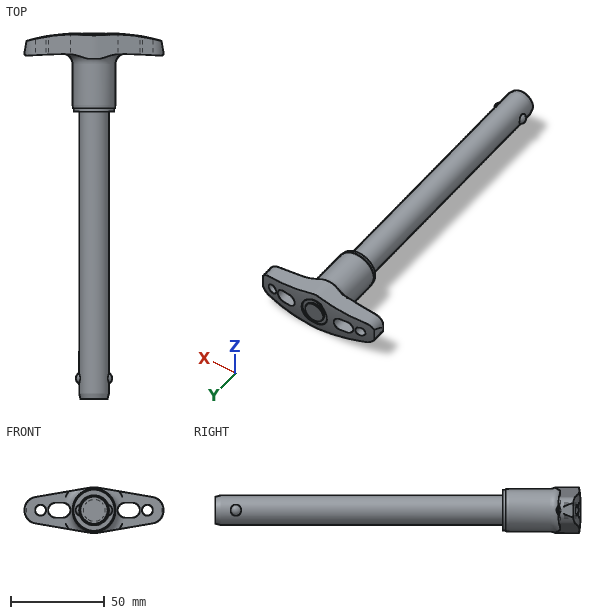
import cadquery as cq
import math


overall_length = 196.2
shaft_radius = 8.0
tip_radius = 7.3
tip_chamfer_length = 3.0
ball_radius = 3.1
ball_reach = 9.8
ball_from_tip = 11.2

collar_radius = 11.5
collar_bottom = -42.0
collar_fillet = 5.3
collar_fillet_bottom = -16.5
collar_end_radius = 11.0
collar_end_step = 1.8
collar_taper_radius = 11.4
collar_taper_length = 1.8

handle_length = 74.8
hub_radius = 12.4
arm_end_radius = 7.3
slot_center = 18.6
slot_length = 11.8
slot_width = 7.8
hole_center = 28.6
hole_diameter = 5.7

hump_center = 8.8
hump_radius = 94.2
crown_radius = 88.3
underside_level = -11.0
underside_radius = 588.6
end_slope_bottom = -10.5
end_slope_angle = 10.0
end_round_length = 1.4

button_radius = 5.9
button_recess_radius = 8.2
button_recess_depth = 1.0

overlap = 2.0

half_length = handle_length / 2
arm_end_center = half_length - arm_end_radius


def cylinder_down(radius, top, bottom):
    """Cylinder on the pin axis between two heights."""
    return cq.Workplane("XZ", origin=(0, top, 0)).circle(radius).extrude(top - bottom)


def handle_plan(top, bottom):
    """Prism of the handle outline: hub arcs, tangent tapered sides, rounded ends."""
    sin_taper = (hub_radius - arm_end_radius) / arm_end_center
    cos_taper = math.sqrt(1 - sin_taper**2)
    hub_x = hub_radius * sin_taper
    hub_z = hub_radius * cos_taper
    arm_x = arm_end_center + arm_end_radius * sin_taper
    arm_z = arm_end_radius * cos_taper
    return (
        cq.Workplane("XZ", origin=(0, top, 0))
        .moveTo(-hub_x, hub_z)
        .threePointArc((0, hub_radius), (hub_x, hub_z))
        .lineTo(arm_x, arm_z)
        .threePointArc((half_length, 0), (arm_x, -arm_z))
        .lineTo(hub_x, -hub_z)
        .threePointArc((0, -hub_radius), (-hub_x, -hub_z))
        .lineTo(-arm_x, -arm_z)
        .threePointArc((-half_length, 0), (-arm_x, arm_z))
        .close()
        .extrude(top - bottom)
    )


def hump_height(x):
    """Height of the crown arc at a distance x from the pin axis."""
    return math.sqrt(hump_radius**2 - (x - hump_center) ** 2) - hump_radius


def crown_body():
    """Body bounded by the twin-hump crown, also rounded across the handle."""
    end_y = hump_height(half_length)
    mid_x = half_length / 2
    mid_y = hump_height(mid_x)
    return (
        cq.Workplane("XY")
        .moveTo(-half_length, -crown_radius)
        .lineTo(-half_length, end_y)
        .threePointArc((-mid_x, mid_y), (0, hump_height(0)))
        .threePointArc((mid_x, mid_y), (half_length, end_y))
        .lineTo(half_length, -crown_radius)
        .close()
        .revolve(360, (0, -crown_radius, 0), (1, -crown_radius, 0))
    )


def underside_body():
    """Everything above the gently arched underside and inside the sloped end faces."""
    round_start_x = half_length - end_round_length
    sag = underside_radius - math.sqrt(underside_radius**2 - round_start_x**2)
    round_start_y = underside_level - sag
    bend = end_round_length * (1 - math.sqrt(0.5))
    bend_x = half_length - bend
    bend_y = round_start_y + bend
    inset = (overlap - end_slope_bottom) * math.tan(math.radians(end_slope_angle))
    return (
        cq.Workplane("XY")
        .moveTo(-round_start_x, round_start_y)
        .threePointArc((0, underside_level), (round_start_x, round_start_y))
        .threePointArc((bend_x, bend_y), (half_length, end_slope_bottom))
        .lineTo(half_length - inset, overlap)
        .lineTo(inset - half_length, overlap)
        .lineTo(-half_length, end_slope_bottom)
        .threePointArc((-bend_x, bend_y), (-round_start_x, round_start_y))
        .close()
        .extrude(hub_radius, both=True)
    )


def collar_blend():
    """Concave fillet ring from the collar to the handle, trimmed to the handle plan."""
    flare_radius = collar_radius + collar_fillet
    flare_y = collar_fillet_bottom + collar_fillet
    bend = collar_fillet * (1 - math.sqrt(0.5))
    ring = (
        cq.Workplane("XY")
        .moveTo(0, collar_fillet_bottom)
        .lineTo(collar_radius, collar_fillet_bottom)
        .threePointArc((collar_radius + bend, flare_y - bend), (flare_radius, flare_y))
        .lineTo(flare_radius, underside_level + overlap)
        .lineTo(0, underside_level + overlap)
        .close()
        .revolve(360, (0, 0, 0), (0, 1, 0))
    )
    return ring.intersect(handle_plan(0, collar_fillet_bottom))


def arm_openings():
    """Slot and lanyard hole through each arm."""
    depth = -collar_fillet_bottom
    slots = (
        cq.Workplane("XZ")
        .pushPoints([(-slot_center, 0), (slot_center, 0)])
        .slot2D(slot_length, slot_width)
        .extrude(depth)
    )
    holes = (
        cq.Workplane("XZ")
        .pushPoints([(-hole_center, 0), (hole_center, 0)])
        .circle(hole_diameter / 2)
        .extrude(depth)
    )
    return slots.union(holes)


def handle():
    """T-handle with its collar blend, arm openings and release button."""
    body = handle_plan(overlap, collar_fillet_bottom).intersect(crown_body()).intersect(underside_body())
    body = body.union(collar_blend())
    body = body.cut(arm_openings())
    body = body.cut(cylinder_down(button_recess_radius, overlap, -button_recess_depth))
    return body.union(cylinder_down(button_radius, 0, underside_level))


def collar():
    """Sleeve with a slight taper and a stepped-down end."""
    step_y = collar_bottom + collar_end_step
    return (
        cq.Workplane("XY")
        .moveTo(0, underside_level)
        .lineTo(collar_radius, underside_level)
        .lineTo(collar_radius, step_y + collar_taper_length)
        .lineTo(collar_taper_radius, step_y)
        .lineTo(collar_end_radius, step_y)
        .lineTo(collar_end_radius, collar_bottom)
        .lineTo(0, collar_bottom)
        .close()
        .revolve(360, (0, 0, 0), (0, 1, 0))
    )


def pin():
    """Shaft with a tapered tip and two locking balls."""
    shaft = (
        cq.Workplane("XY")
        .moveTo(0, underside_level)
        .lineTo(shaft_radius, underside_level)
        .lineTo(shaft_radius, tip_chamfer_length - overall_length)
        .lineTo(tip_radius, -overall_length)
        .lineTo(0, -overall_length)
        .close()
        .revolve(360, (0, 0, 0), (0, 1, 0))
    )
    ball_center = ball_reach - ball_radius
    for side in (-1, 1):
        ball = cq.Workplane("XY").sphere(ball_radius)
        shaft = shaft.union(ball.translate((side * ball_center, ball_from_tip - overall_length, 0)))
    return shaft


result = handle().union(collar()).union(pin())